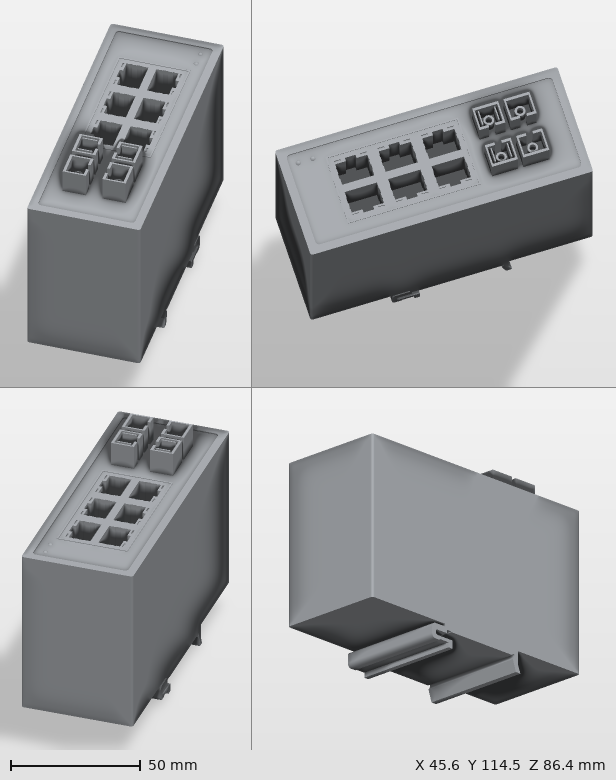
import cadquery as cq
import math

SIDES = (-1, 1)

TOTAL_HEIGHT = 86.42
HOUSING_WIDTH = 45.6
HOUSING_LENGTH = 114.5
HOUSING_HEIGHT = 67.8
CORNER_RADIUS = 1.0

PANEL_WIDTH = 39.0
PANEL_LENGTH = 107.7
PANEL_DEPTH = 0.5
PANEL_RADIUS = 1.5
PANEL_Z = HOUSING_HEIGHT - PANEL_DEPTH

LAMP_RADIUS = 1.0
LAMP_RISE = 0.5
LAMP_X = 15.4
LAMP_YS = (50.1, 44.2)

BLOCK_Y = 12.55
BLOCK_WIDTH = 28.9
BLOCK_LENGTH = 53.8
BLOCK_DEPTH = 15.0
RIM_WIDTH = 0.6
RIM_RISE = 0.25

PORT_ROW_PITCH = 17.64
PORT_INNER_X = 1.6
PORT_OUTER_X = 10.5
PORT_LENGTH = 13.05
PORT_DEPTH = 13.0
LATCH_OUTER_X = 11.9
LATCH_LENGTH = 4.3
GROOVE_DEPTH = 0.2
WIDE_GROOVE_X = (4.2, 6.3)
NARROW_GROOVE_X = (8.2, 8.9)
WINDOW_WIDTH = 0.6
WINDOW_LENGTH = 2.6
WINDOW_DEPTH = 0.5

CONNECTOR_X = 8.0
CONNECTOR_PITCH = 12.7
CONNECTOR_BACK_Y = -24.75
CONNECTOR_FRONT_Y = CONNECTOR_BACK_Y - CONNECTOR_PITCH
SHELL_WIDTH = 9.4
SHELL_LENGTH = 10.5
CAVITY_WIDTH = 7.2
CAVITY_LENGTH = 9.1
SHELL_RISE = 9.4
SHELL_HEIGHT = SHELL_RISE + PANEL_DEPTH
KEYWAY_WIDTH = 2.7
SLEEVE_DIAMETER = 4.2
SLEEVE_BORE = 2.51
SLEEVE_HEIGHT = 5.0
BLADE_WIDTH = 5.9
BLADE_THICKNESS = 0.5
BLADE_OFFSET = 3.3

FOOT_BOTTOM_Z = HOUSING_HEIGHT + SHELL_RISE - TOTAL_HEIGHT
FOOT_ROOT_Z = 1.0
SOLE_Z = -2.5
SOLE_BACK_Y = 13.7
SOLE_FRONT_Y = -20.0
LEDGE_Z = -2.2
HOOK_ROOT_Y = 17.0
HOOK_FRONT_Y = 16.25
HOOK_BACK_Y = 24.3
HOOK_TOP_Z = -1.1
HOOK_BOTTOM_Z = -7.55
HOOK_RADIUS = 1.8
SLOT_TOP_Z = -3.62
SLOT_BOTTOM_Z = -5.8
SLOT_RADIUS = (SLOT_TOP_Z - SLOT_BOTTOM_Z) / 2
SLOT_CENTRE_Y = 21.2
ARM_UNDER_Z = -7.15
ARM_STEP_Y = 20.2
TOE_BACK_Y = 15.2
TOE_FRONT_Y = 13.0
LEG_FRONT_Y = -22.95
LEG_FRONT_BEND_Z = -5.3
LEG_BACK_BEND = (-20.25, -4.1)
LEG_TIP_Z = -9.0
LEG_TIP_BACK_Y = -21.9
LEG_TIP_FRONT_Y = -24.4
RELIEF_TOP = (-20.5, -1.85)
RELIEF_END = (-21.1, -2.8)


def box_on(bottom, x, y, width, length, height):
    """Box centred on (x, y) and standing on the height `bottom`."""
    box = cq.Workplane("XY").box(width, length, height, centered=(True, True, False))
    return box.translate((x, y, bottom))


def port_box(x_range, length, depth, y=0):
    """Cutter between two X values, from `depth` below the panel to above the rim."""
    width = x_range[1] - x_range[0]
    return box_on(PANEL_Z - depth, sum(x_range) / 2, y, width, length, depth + RIM_RISE)


def make_foot():
    """Hook, sole and spring leg as one profile across the full width of the housing."""
    arc_inset = HOOK_RADIUS * (1 - math.sqrt(0.5))
    arc_start_y = HOOK_BACK_Y - HOOK_RADIUS
    hook_arc_y = HOOK_BACK_Y - arc_inset
    slot_middle = (SLOT_CENTRE_Y + SLOT_RADIUS, SLOT_BOTTOM_Z + SLOT_RADIUS)
    profile = (
        cq.Workplane("YZ")
        .moveTo(HOOK_ROOT_Y, FOOT_ROOT_Z)
        .lineTo(HOOK_ROOT_Y, HOOK_TOP_Z)
        .lineTo(arc_start_y, HOOK_TOP_Z)
        .threePointArc((hook_arc_y, HOOK_TOP_Z - arc_inset), (HOOK_BACK_Y, HOOK_TOP_Z - HOOK_RADIUS))
        .lineTo(HOOK_BACK_Y, HOOK_BOTTOM_Z + HOOK_RADIUS)
        .threePointArc((hook_arc_y, HOOK_BOTTOM_Z + arc_inset), (arc_start_y, HOOK_BOTTOM_Z))
        .lineTo(ARM_STEP_Y, HOOK_BOTTOM_Z)
        .lineTo(ARM_STEP_Y, ARM_UNDER_Z)
        .lineTo(TOE_BACK_Y, ARM_UNDER_Z)
        .lineTo(TOE_BACK_Y, FOOT_BOTTOM_Z)
        .lineTo(TOE_FRONT_Y, FOOT_BOTTOM_Z)
        .lineTo(TOE_FRONT_Y, SLOT_BOTTOM_Z)
        .lineTo(SLOT_CENTRE_Y, SLOT_BOTTOM_Z)
        .threePointArc(slot_middle, (SLOT_CENTRE_Y, SLOT_TOP_Z))
        .lineTo(HOOK_FRONT_Y, SLOT_TOP_Z)
        .lineTo(HOOK_FRONT_Y, LEDGE_Z)
        .lineTo(SOLE_BACK_Y, LEDGE_Z)
        .lineTo(SOLE_BACK_Y, SOLE_Z)
        .lineTo(SOLE_FRONT_Y, SOLE_Z)
        .threePointArc(RELIEF_TOP, RELIEF_END)
        .lineTo(*LEG_BACK_BEND)
        .lineTo(LEG_TIP_BACK_Y, LEG_TIP_Z)
        .lineTo(LEG_TIP_FRONT_Y, LEG_TIP_Z)
        .lineTo(LEG_FRONT_Y, LEG_FRONT_BEND_Z)
        .lineTo(LEG_FRONT_Y, FOOT_ROOT_Z)
        .close()
    )
    return profile.extrude(HOUSING_WIDTH / 2, both=True)


def make_lamp(y):
    """Spherical cap standing on the panel."""
    ball_radius = (LAMP_RADIUS**2 + LAMP_RISE**2) / (2 * LAMP_RISE)
    ball = cq.Workplane("XY").sphere(ball_radius).translate((0, 0, LAMP_RISE - ball_radius))
    cap = ball.intersect(box_on(0, 0, 0, 2 * ball_radius, 2 * ball_radius, LAMP_RISE))
    return cap.translate((LAMP_X, y, PANEL_Z))


def make_sleeve(x, y):
    """Upright tube in the middle of a connector."""
    tube = cq.Workplane("XY").circle(SLEEVE_DIAMETER / 2).circle(SLEEVE_BORE / 2).extrude(SLEEVE_HEIGHT)
    return tube.translate((x, y, PANEL_Z))


def make_blade(x, y):
    """Thin upright plate, level with the top of the connector shells."""
    return box_on(PANEL_Z, x, y, BLADE_WIDTH, BLADE_THICKNESS, SHELL_HEIGHT)


def make_housing():
    housing = box_on(0, 0, 0, HOUSING_WIDTH, HOUSING_LENGTH, HOUSING_HEIGHT)
    housing = housing.edges("|Z").fillet(CORNER_RADIUS)
    panel = box_on(PANEL_Z, 0, 0, PANEL_WIDTH, PANEL_LENGTH, PANEL_DEPTH)
    housing = housing.cut(panel.edges("|Z").fillet(PANEL_RADIUS))
    housing = housing.cut(box_on(PANEL_Z - BLOCK_DEPTH, 0, BLOCK_Y, BLOCK_WIDTH, BLOCK_LENGTH, BLOCK_DEPTH))
    housing = housing.union(make_foot())
    for y in LAMP_YS:
        housing = housing.union(make_lamp(y))
    for side in SIDES:
        x = side * CONNECTOR_X
        for y in (CONNECTOR_BACK_Y, CONNECTOR_FRONT_Y):
            housing = housing.union(make_sleeve(x, y))
        for end in SIDES:
            housing = housing.union(make_blade(x, CONNECTOR_BACK_Y + end * BLADE_OFFSET))
    return housing


def make_port_cutter():
    """Cavity of one port on the +X side, centred on Y = 0."""
    cutter = port_box((PORT_INNER_X, PORT_OUTER_X), PORT_LENGTH, PORT_DEPTH)
    cutter = cutter.union(port_box((PORT_INNER_X, LATCH_OUTER_X), LATCH_LENGTH, PORT_DEPTH))
    for groove_x in (WIDE_GROOVE_X, NARROW_GROOVE_X):
        cutter = cutter.union(port_box(groove_x, PORT_LENGTH + 2 * GROOVE_DEPTH, PORT_DEPTH))
    window_x = (LATCH_OUTER_X - WINDOW_WIDTH, LATCH_OUTER_X)
    window_y = (PORT_LENGTH - WINDOW_LENGTH) / 2
    for end in SIDES:
        cutter = cutter.union(port_box(window_x, WINDOW_LENGTH, WINDOW_DEPTH, end * window_y))
    return cutter


def make_port_block():
    block = box_on(PANEL_Z - BLOCK_DEPTH, 0, BLOCK_Y, BLOCK_WIDTH, BLOCK_LENGTH, BLOCK_DEPTH + RIM_RISE)
    face_width = BLOCK_WIDTH - 2 * RIM_WIDTH
    face_length = BLOCK_LENGTH - 2 * RIM_WIDTH
    block = block.cut(box_on(PANEL_Z, 0, BLOCK_Y, face_width, face_length, RIM_RISE))
    right_port = make_port_cutter()
    left_port = right_port.mirror("YZ")
    for row in (-1, 0, 1):
        place = (0, BLOCK_Y + row * PORT_ROW_PITCH, 0)
        block = block.cut(right_port.translate(place)).cut(left_port.translate(place))
    return block


def make_connector_shell(side, y):
    """Square tube standing on the panel, with a keyway in the wall nearest the middle plane."""
    x = side * CONNECTOR_X
    shell = box_on(PANEL_Z, x, y, SHELL_WIDTH, SHELL_LENGTH, SHELL_HEIGHT)
    shell = shell.cut(box_on(PANEL_Z, x, y, CAVITY_WIDTH, CAVITY_LENGTH, SHELL_HEIGHT))
    keyway_x = x - side * SHELL_WIDTH / 2
    return shell.cut(box_on(PANEL_Z, keyway_x, y, SHELL_WIDTH, KEYWAY_WIDTH, SHELL_HEIGHT))


housing = make_housing()
port_block = make_port_block()
connector_shells = [
    make_connector_shell(side, y) for side in SIDES for y in (CONNECTOR_BACK_Y, CONNECTOR_FRONT_Y)
]

result = cq.Compound.makeCompound(
    [housing.val(), port_block.val(), *[shell.val() for shell in connector_shells]]
)